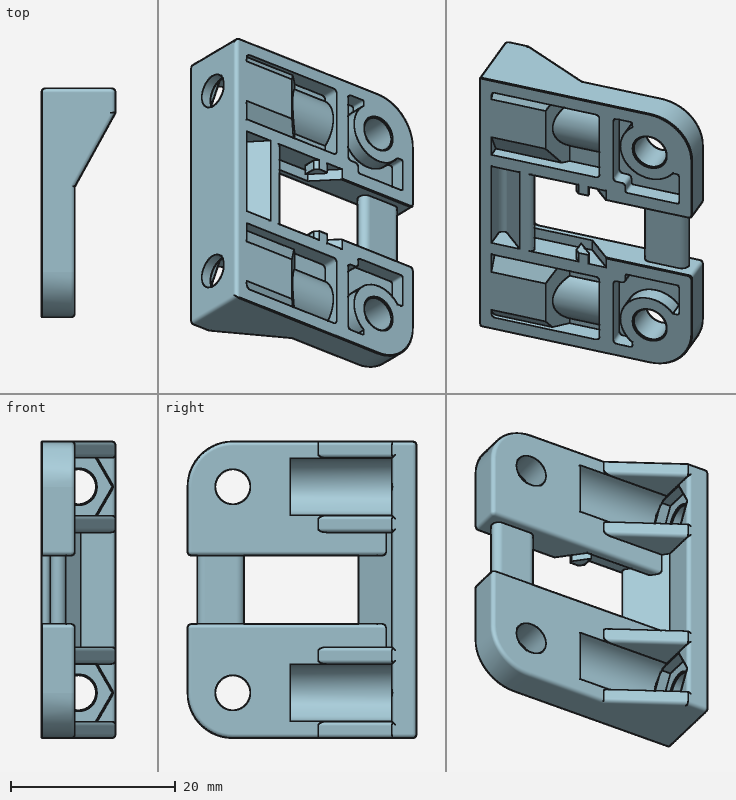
import cadquery as cq
import math

THICKNESS = 9.0
DEPTH = 27.8
HEIGHT = 36.0
MID_Z = HEIGHT / 2

PLATE_THICKNESS = 4.05
FLANGE_DEPTH = 3.0
SLOPE_FOOT_Y = 15.85
FLANGE_Y = DEPTH - FLANGE_DEPTH

CORNER_RADIUS = 5.5
RIM_RADIUS = 0.5
FACE_CHAMFER = 0.1
CHAMFER_ANGLE = 45
POCKET_RADIUS = 0.5
POCKET_TIP_RADIUS = 0.3

HOLE_DIAMETER = 4.2
HOLE_CHAMFER = 0.15
BOLT_X = 4.5
HOLE_Z = HEIGHT - CORNER_RADIUS

TROUGH_RADIUS = 3.5
TROUGH_END_Y = 12.45
NUT_RADIUS = 4.1
NUT_DEPTH = 1.5
NUT_CHAMFER = 0.18

POCKET_DEPTH = 2.2
POCKET_TOP_Y = DEPTH - 1.65
POCKET_LOW_Y = 12.05
POCKET_LOW_Z = 25.2
POCKET_HIGH_Z = 34.27
HOUSING_HALF_FLAT = 2.75
HOUSING_END_Y = 19.08
HOUSING_RAMP = 2.25
HOUSING_SLOPE_ANGLE = 30
SCREW_HOUSING_RADIUS = 3.85

HINGE_POCKET_DEPTH = 2.0
HINGE_POCKET_TOP_Y = 10.25
HINGE_POCKET_STEP_Y = 8.68
HINGE_POCKET_LOW_Y = 1.7
HINGE_POCKET_LOW_Z = 23.9
HINGE_BOSS_RADIUS = 3.8
HINGE_POCKET_ARM_Y = 7.78
HINGE_POCKET_ARM_Z = 28.15

OPENING_HALF = 4.15
RECESS_HALF = 5.55
BACK_HALF = 6.95
RECESS_DEPTH = 3.0
RECESS_END_Y = 11.15

NOSE_Y = 20.75
GROOVE_HIGH_Y = POCKET_TOP_Y
GROOVE_LOW_Y = 22.43
GROOVE_RADIUS = 0.58

CATCH_LOW_Y = 13.55
CATCH_HIGH_Y = 15.25
CATCH_CHAMFER = 0.5
CATCH_LIP = 0.35
CATCH_HALF = 4.3

PIN_X = 2.0
PIN_RADIUS = 0.95
PIN_LOW_Y = 1.2
PIN_HIGH_Y = 6.88
PIN_EMBED = 0.35


def box(x0, x1, y0, y1, z0, z1):
    """Box between two opposite corners."""
    return cq.Workplane("XY").box(x1 - x0, y1 - y0, z1 - z0, centered=False).translate((x0, y0, z0))


def prism_z(points, half_height):
    """Polygon in XY, extruded symmetrically about the middle of the part."""
    sketch_plane = cq.Workplane("XY", origin=(0, 0, MID_Z))
    return sketch_plane.polyline(points).close().extrude(half_height, both=True)


def rod_y(radius, y0, y1):
    """Cylinder along the upper bolt axis."""
    return cq.Workplane("XZ", origin=(BOLT_X, y0, HOLE_Z)).circle(radius).extrude(y0 - y1)


def both_ends(shape):
    """The shape together with its mirror image in the lower half."""
    return shape.union(shape.mirror("XY", (0, 0, MID_Z)))


def make_plate():
    """Thin plate with two rounded lobes, a rounded back rim and a finely chamfered -X rim."""
    plate = box(0, PLATE_THICKNESS, 0, FLANGE_Y, 0, HEIGHT)
    plate = plate.edges("|X and <Y").fillet(CORNER_RADIUS)
    opening_low = MID_Z - OPENING_HALF
    opening_high = MID_Z + OPENING_HALF
    plate = plate.cut(box(0, PLATE_THICKNESS, 0, FLANGE_Y, opening_low, opening_high))
    for z in (opening_low, opening_high):
        inner_corner = cq.selectors.NearestToPointSelector((PLATE_THICKNESS / 2, 0, z))
        plate = plate.edges("|X").edges(inner_corner).fillet(RIM_RADIUS)
    plate = plate.faces(">X").edges("not >Y").fillet(RIM_RADIUS)
    return plate.faces("<X").edges("not >Y").chamfer(FACE_CHAMFER)


def make_flange():
    """Thick bar along the +Y end, rounded on its outer edges."""
    flange = box(0, THICKNESS, FLANGE_Y, DEPTH, 0, HEIGHT)
    flange = flange.edges(">X or >Y").fillet(RIM_RADIUS)
    end_wedge = (
        cq.Workplane("XZ", origin=(0, DEPTH, HEIGHT))
        .polyline([(0, 0), (FACE_CHAMFER, 0), (0, -FACE_CHAMFER)])
        .close()
        .extrude(FLANGE_DEPTH)
    )
    return flange.cut(both_ends(end_wedge))


def make_rib(z0, z1):
    """Sloped rib joining the plate to the flange, rounded along its free edges."""
    root_x = PLATE_THICKNESS / 2
    side = [
        (root_x, SLOPE_FOOT_Y),
        (PLATE_THICKNESS, SLOPE_FOOT_Y),
        (THICKNESS, FLANGE_Y),
        (THICKNESS, DEPTH),
        (root_x, DEPTH),
    ]
    rib = cq.Workplane("XY", origin=(0, 0, z0)).polyline(side).close().extrude(z1 - z0)
    slope_normal = cq.Vector(FLANGE_Y - SLOPE_FOOT_Y, PLATE_THICKNESS - THICKNESS, 0)
    slope = rib.faces(cq.selectors.ParallelDirSelector(slope_normal))
    free_edges = slope.edges("not |Z")
    free_edges = free_edges.add(rib.edges(">X and (not |Z)"))
    free_edges = free_edges.add(rib.edges(">Y and (not <X)"))
    return free_edges.fillet(RIM_RADIUS)


def make_web():
    """Web from the opening to the flange, with a rounded nose and a 45 degree -Y face."""
    reach = RIM_RADIUS * math.sqrt(0.5)
    nose_end_x = RIM_RADIUS + reach
    nose_end_y = NOSE_Y + RIM_RADIUS - reach
    return (
        cq.Workplane("XY", origin=(0, 0, MID_Z))
        .moveTo(0, NOSE_Y + RIM_RADIUS)
        .threePointArc((RIM_RADIUS - reach, nose_end_y), (RIM_RADIUS, NOSE_Y))
        .tangentArcPoint((nose_end_x, nose_end_y), relative=False)
        .lineTo(nose_end_x + FLANGE_Y - nose_end_y, FLANGE_Y)
        .lineTo(0, FLANGE_Y)
        .close()
        .extrude(BACK_HALF, both=True)
    )


def make_groove():
    """Groove behind the web: straight +Y wall, rounded bottom, 45 degree -Y wall."""
    depth = GROOVE_HIGH_Y - GROOVE_LOW_Y
    groove = prism_z([(0, GROOVE_LOW_Y), (depth, GROOVE_HIGH_Y), (0, GROOVE_HIGH_Y)], RECESS_HALF)
    return groove.edges(">X").fillet(GROOVE_RADIUS)


def make_recess():
    """Widening of the opening on its -X side, ending in a 45 degree ramp."""
    return prism_z(
        [
            (0, RECESS_END_Y),
            (RECESS_DEPTH, RECESS_END_Y + RECESS_DEPTH),
            (RECESS_DEPTH, FLANGE_Y),
            (0, FLANGE_Y),
        ],
        RECESS_HALF,
    )


def make_catches():
    """Triangular catches on both sides of the opening."""
    width = CATCH_HIGH_Y - CATCH_LOW_Y
    catches = prism_z(
        [
            (0, CATCH_LOW_Y),
            (CATCH_LIP, CATCH_LOW_Y),
            (CATCH_LIP + width, CATCH_HIGH_Y),
            (CATCH_CHAMFER, CATCH_HIGH_Y),
            (0, CATCH_HIGH_Y - CATCH_CHAMFER),
        ],
        RECESS_HALF,
    )
    gap = box(0, THICKNESS, 0, DEPTH, MID_Z - CATCH_HALF, MID_Z + CATCH_HALF)
    return catches.cut(gap)


def make_trough():
    """Screw channel behind the slope: half round bottom, straight sides."""
    low_z = HOLE_Z - TROUGH_RADIUS
    channel = rod_y(TROUGH_RADIUS, TROUGH_END_Y, FLANGE_Y)
    return channel.union(
        box(BOLT_X, THICKNESS, TROUGH_END_Y, FLANGE_Y, low_z, low_z + 2 * TROUGH_RADIUS)
    )


def make_bolt_hole():
    """Through hole in the flange with a hexagonal nut recess, vertices pointing along X."""
    hole = rod_y(HOLE_DIAMETER / 2, FLANGE_Y - NUT_DEPTH, DEPTH)
    seat_y = FLANGE_Y + NUT_DEPTH

    def hexagon(radius, y0, y1, taper=0):
        return (
            cq.Workplane("XZ", origin=(BOLT_X, y0, HOLE_Z))
            .polygon(6, 2 * radius)
            .extrude(y0 - y1, taper=taper)
        )

    recess = hexagon(NUT_RADIUS, FLANGE_Y, seat_y)
    flare = hexagon(NUT_RADIUS + NUT_CHAMFER, FLANGE_Y, FLANGE_Y + NUT_CHAMFER, taper=CHAMFER_ANGLE)
    countersink = (
        cq.Workplane("XZ", origin=(BOLT_X, seat_y, HOLE_Z))
        .circle(HOLE_DIAMETER / 2 + HOLE_CHAMFER)
        .extrude(-HOLE_CHAMFER, taper=CHAMFER_ANGLE)
    )
    return hole.union(recess).union(flare).union(countersink)


def make_screw_pocket():
    """Pocket in the -X face around the nut and screw housings."""
    pocket = box(0, POCKET_DEPTH, POCKET_LOW_Y, POCKET_TOP_Y, POCKET_LOW_Z, POCKET_HIGH_Z)
    pocket = pocket.edges("|X and (<Y or >Z)").fillet(POCKET_RADIUS)
    side_slope = math.tan(math.radians(HOUSING_SLOPE_ANGLE))
    reach = HOUSING_HALF_FLAT + POCKET_DEPTH / side_slope
    ramp_end = HOUSING_END_Y - HOUSING_RAMP
    section = [
        (0, -HOUSING_HALF_FLAT),
        (0, HOUSING_HALF_FLAT),
        (POCKET_DEPTH, reach),
        (POCKET_DEPTH, -reach),
    ]
    nut_housing = (
        cq.Workplane("XZ", origin=(0, DEPTH, HOLE_Z))
        .polyline(section)
        .close()
        .extrude(DEPTH - ramp_end)
    )
    ramp = (
        cq.Workplane("XY")
        .polyline([(0, HOUSING_END_Y), (POCKET_DEPTH, ramp_end), (0, ramp_end)])
        .close()
        .extrude(HEIGHT)
    )
    screw_housing = rod_y(SCREW_HOUSING_RADIUS, POCKET_LOW_Y, HOUSING_END_Y)
    return pocket.cut(nut_housing.cut(ramp)).cut(screw_housing)


def make_hinge_pocket():
    """Stepped pocket wrapping the boss of the hinge hole."""
    pocket = (
        cq.Workplane("YZ")
        .moveTo(HINGE_POCKET_TOP_Y, POCKET_HIGH_Z)
        .lineTo(HINGE_POCKET_TOP_Y, POCKET_LOW_Z)
        .lineTo(HINGE_POCKET_STEP_Y, POCKET_LOW_Z)
        .lineTo(HINGE_POCKET_STEP_Y, HINGE_POCKET_LOW_Z)
        .lineTo(HINGE_POCKET_LOW_Y, HINGE_POCKET_LOW_Z)
        .lineTo(HINGE_POCKET_LOW_Y, HINGE_POCKET_ARM_Z)
        .lineTo(CORNER_RADIUS, HINGE_POCKET_ARM_Z)
        .lineTo(CORNER_RADIUS, HOLE_Z)
        .lineTo(HINGE_POCKET_ARM_Y, HOLE_Z)
        .lineTo(HINGE_POCKET_ARM_Y, POCKET_HIGH_Z)
        .close()
        .extrude(HINGE_POCKET_DEPTH)
    )
    hinge_axis = cq.Workplane("YZ").center(CORNER_RADIUS, HOLE_Z)
    boss = hinge_axis.circle(HINGE_BOSS_RADIUS).extrude(HINGE_POCKET_DEPTH)
    pocket = pocket.cut(boss)
    wide_corners = [
        (HINGE_POCKET_TOP_Y, POCKET_HIGH_Z),
        (HINGE_POCKET_TOP_Y, POCKET_LOW_Z),
        (HINGE_POCKET_STEP_Y, POCKET_LOW_Z),
    ]
    for y, z in wide_corners:
        corner = cq.selectors.NearestToPointSelector((HINGE_POCKET_DEPTH / 2, y, z))
        pocket = pocket.edges("|X").edges(corner).fillet(POCKET_RADIUS)
    tip_corners = [
        (HINGE_POCKET_ARM_Y, POCKET_HIGH_Z),
        (HINGE_POCKET_LOW_Y, HINGE_POCKET_ARM_Z),
        (HINGE_POCKET_LOW_Y, HINGE_POCKET_LOW_Z),
        (HINGE_POCKET_STEP_Y, HINGE_POCKET_LOW_Z),
    ]
    for y, z in tip_corners:
        corner = cq.selectors.NearestToPointSelector((HINGE_POCKET_DEPTH / 2, y, z))
        pocket = pocket.edges("|X").edges(corner).fillet(POCKET_TIP_RADIUS)
    return pocket


def make_hinge_hole():
    """Hole across the lobe, chamfered at the -X face."""
    hole = cq.Workplane("YZ").center(CORNER_RADIUS, HOLE_Z).circle(HOLE_DIAMETER / 2).extrude(THICKNESS)
    countersink = (
        cq.Workplane("YZ")
        .center(CORNER_RADIUS, HOLE_Z)
        .circle(HOLE_DIAMETER / 2 + HOLE_CHAMFER)
        .extrude(HOLE_CHAMFER, taper=CHAMFER_ANGLE)
    )
    return hole.union(countersink)


def make_pin():
    """Flat-sided cross pin joining the lobes."""
    return (
        cq.Workplane("XY", origin=(PIN_X, (PIN_LOW_Y + PIN_HIGH_Y) / 2, MID_Z))
        .slot2D(PIN_HIGH_Y - PIN_LOW_Y, 2 * PIN_RADIUS, angle=90)
        .extrude(OPENING_HALF + PIN_EMBED, both=True)
    )


body = make_plate().union(make_flange())
rib_spans = [
    (HOLE_Z + TROUGH_RADIUS, HEIGHT),
    (MID_Z + BACK_HALF, HOLE_Z - TROUGH_RADIUS),
]
for rib_low_z, rib_high_z in rib_spans:
    body = body.union(both_ends(make_rib(rib_low_z, rib_high_z)))

body = body.cut(make_recess()).union(make_web()).cut(make_groove()).union(make_catches())

for make_cutter in (make_trough, make_bolt_hole, make_screw_pocket, make_hinge_pocket, make_hinge_hole):
    body = body.cut(both_ends(make_cutter()))

result = body.union(make_pin())